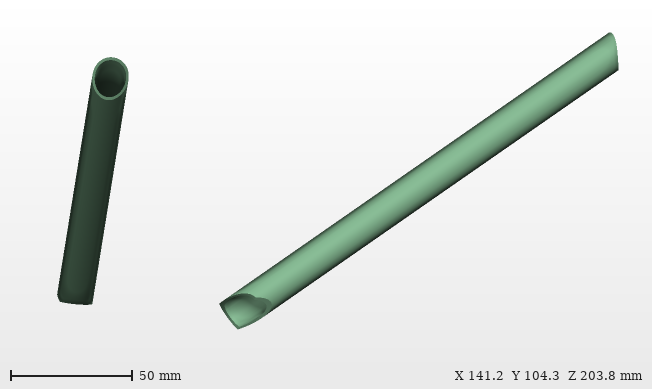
import cadquery as cq
TUBE_RADIUS = 7.5
WALL = 1.03
LOWER_NODE = cq.Vector(-64.425, 46.9, -103.7)
UPPER_NODE = cq.Vector(76.862, -55.078, 112.1)
STOCK_LENGTH = 300.0

CROSS_TUBE_RADIUS = 7.5
CROSS_TUBE_AXIS = cq.Vector(0, 1, 0)

MITRE_NORMAL = cq.Vector(0.292, -0.4, -0.961)
MITRE_OFFSET = 1.653

UPPER_TUBE_RADIUS = 20.728
UPPER_TUBE_AXIS = cq.Vector(-0.105, 0.308, 0.96)
UPPER_TUBE_OFFSET = 0.537

CUTTER_HALF_LENGTH = 60.0
MITRE_BLOCK = 300.0

axis = (UPPER_NODE - LOWER_NODE).normalized()
middle = (LOWER_NODE + UPPER_NODE) * 0.5
across = cq.Vector(axis.y, -axis.x, 0).normalized()


def rod(radius):
    """Round bar along the tube axis, with its two half faces meeting at the sides."""
    start = middle - axis * (STOCK_LENGTH / 2)
    plane = cq.Plane(origin=start.toTuple(), xDir=across.toTuple(), normal=axis.toTuple())
    outline = (
        cq.Workplane(plane)
        .moveTo(-radius, 0)
        .threePointArc((0, radius), (radius, 0))
        .threePointArc((0, -radius), (-radius, 0))
        .close()
    )
    return outline.extrude(STOCK_LENGTH, clean=False)


def saddle_cutter(center, direction, radius):
    """Cylinder centred on a point, standing for the tube that this one fits against."""
    unit = direction.normalized()
    start = center - unit * CUTTER_HALF_LENGTH
    return cq.Workplane(obj=cq.Solid.makeCylinder(radius, 2 * CUTTER_HALF_LENGTH, start, unit))


def mitre_cutter():
    """Block below the flat mitre at the lower end."""
    origin = LOWER_NODE + axis * MITRE_OFFSET
    plane = cq.Plane(origin=origin.toTuple(), normal=MITRE_NORMAL.normalized().toTuple())
    return cq.Workplane(plane).rect(MITRE_BLOCK, MITRE_BLOCK).extrude(MITRE_BLOCK)


tube = rod(TUBE_RADIUS).cut(rod(TUBE_RADIUS - WALL), clean=False)

upper_center = UPPER_NODE + axis * UPPER_TUBE_OFFSET
cutters = [
    saddle_cutter(LOWER_NODE, CROSS_TUBE_AXIS, CROSS_TUBE_RADIUS),
    saddle_cutter(upper_center, UPPER_TUBE_AXIS, UPPER_TUBE_RADIUS),
    mitre_cutter(),
]
for cutter in cutters:
    tube = tube.cut(cutter, clean=False)

strut = max(tube.solids().vals(), key=lambda piece: piece.Volume())
result = cq.Workplane(obj=strut)